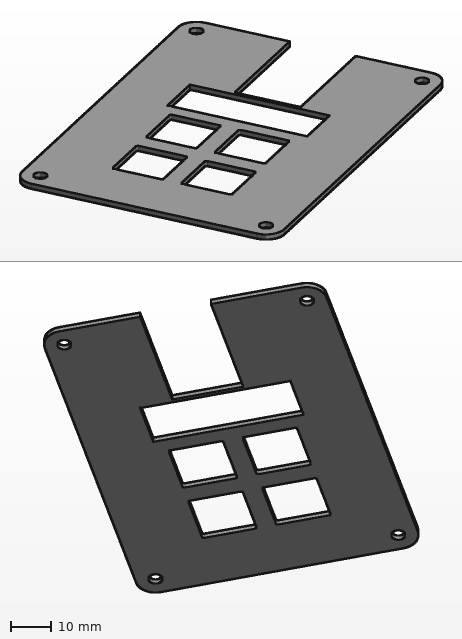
import cadquery as cq

plate_width = 72.5
plate_length = 98.5
plate_thickness = 1.5
corner_radius = 5.0

screw_hole_diameter = 3.4

notch_width = 18.2
notch_depth = 31.2
notch_center_x = 1.3

window_width = 38.6
window_height = 12.7
window_center_x = -0.4
window_center_y = 10.6

key_size = 14.0
key_pitch = 19.0
key_corner_radius = 0.5
key_group_center_x = -0.4
key_group_center_y = -16.4


def make_plate():
    return (
        cq.Workplane("XY")
        .rect(plate_width, plate_length)
        .extrude(plate_thickness)
        .edges("|Z")
        .fillet(corner_radius)
    )


def make_opening(width, height, center_x, center_y):
    """Rectangular cutter as deep as the plate."""
    return (
        cq.Workplane("XY")
        .center(center_x, center_y)
        .rect(width, height)
        .extrude(plate_thickness)
    )


def make_screw_holes():
    return (
        cq.Workplane("XY")
        .rect(plate_width - 2 * corner_radius, plate_length - 2 * corner_radius, forConstruction=True)
        .vertices()
        .circle(screw_hole_diameter / 2)
        .extrude(plate_thickness)
    )


notch = make_opening(notch_width, notch_depth, notch_center_x, (plate_length - notch_depth) / 2)
window = make_opening(window_width, window_height, window_center_x, window_center_y)

result = make_plate().cut(make_screw_holes()).cut(notch).cut(window)

for column_side in (-1, 1):
    for row_side in (-1, 1):
        key_x = key_group_center_x + column_side * key_pitch / 2
        key_y = key_group_center_y + row_side * key_pitch / 2
        key_opening = make_opening(key_size, key_size, key_x, key_y)
        result = result.cut(key_opening.edges("|Z").fillet(key_corner_radius))